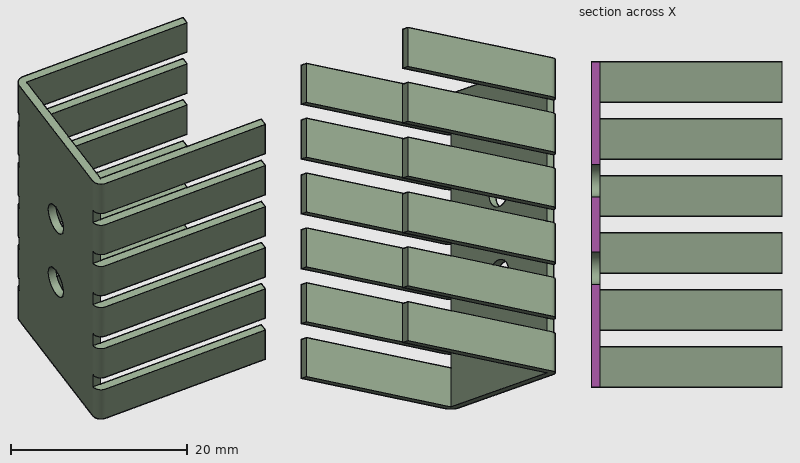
import cadquery as cq

width = 19.8
depth = 21.59
height = 36.83

sheet = 1.0
bend_radius = 1.1

fin_count = 6
fin_height = 4.6
fin_pitch = (height - fin_height) / (fin_count - 1)
slot_height = fin_pitch - fin_height

hole_diameter = 3.65
hole_spacing = 9.9


def make_channel():
    """U-shaped channel: base plate on the -Y side, two walls running toward +Y."""
    outer = (
        cq.Workplane("XY")
        .box(width, depth, height)
        .edges("|Z and <Y")
        .fillet(bend_radius)
    )
    inner = cq.Workplane("XY").box(width - 2 * sheet, depth, height).translate((0, sheet, 0))
    return outer.cut(inner)


def make_slots():
    """Gaps between the fins, cut through both walls one sheet thickness deep."""
    slots = cq.Workplane("XY")
    first_slot_z = -height / 2 + fin_height + slot_height / 2
    for side in (-1, 1):
        x = side * (width - sheet) / 2
        for index in range(fin_count - 1):
            z = first_slot_z + index * fin_pitch
            slots = slots.union(cq.Workplane("XY").box(sheet, depth, slot_height).translate((x, 0, z)))
    return slots


def make_holes():
    """Two round holes through the base plate, stacked along Z."""
    return (
        cq.Workplane("XZ", origin=(0, -depth / 2 + sheet, 0))
        .pushPoints([(0, -hole_spacing / 2), (0, hole_spacing / 2)])
        .circle(hole_diameter / 2)
        .extrude(sheet)
    )


result = make_channel().cut(make_slots()).cut(make_holes())